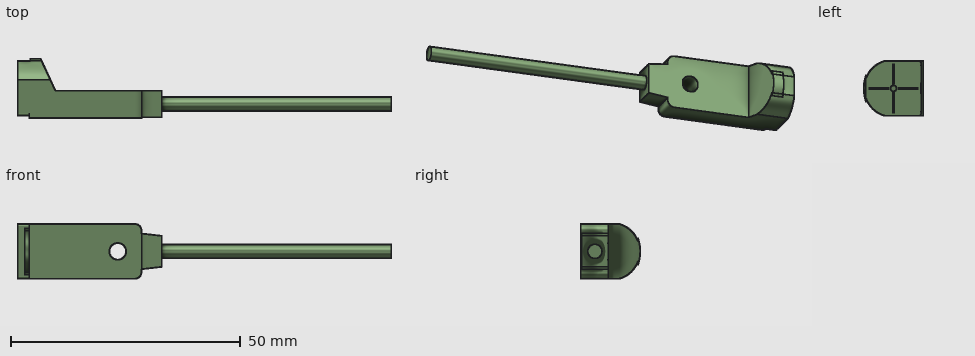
import cadquery as cq
import math


body_length = 27.0
body_thickness = 6.0
housing_width = 12.0
body_corner_radius = 1.5

head_height = 13.0
head_top_length = 5.0
head_foot_length = 8.25
crown_radius = 6.25
crown_center_y = 6.65
crown_flat_y = 12.5

window_start = 2.7
window_half_width = 2.9

step_length = 2.5
step_depth = 0.5
step_fillet = 0.5

recess_start = 1.5
recess_width = 10.1
lens_radius = 6.0
lens_width = 9.0
lens_sagitta = lens_radius - math.sqrt(lens_radius**2 - (lens_width / 2) ** 2)

hole_x = 21.8
hole_diameter = 3.6

boot_length = 4.4
boot_base_width = 7.8
boot_end_width = 6.8
boot_bottom = 0.2
cable_diameter = 3.1
cable_length = 50.0
cable_center_y = (boot_bottom + body_thickness) / 2

mark_center_y = 6.5
mark_depth = 0.1
mark_disc_diameter = 1.3
mark_line_width = 0.3
mark_line_inner = 1.0
mark_line_outer = 5.3


def box(x_range, y_range, width):
    """Block spanning the given X and Y ranges, centred on Z = 0."""
    length = x_range[1] - x_range[0]
    height = y_range[1] - y_range[0]
    block = cq.Workplane("XY").box(length, height, width, centered=(False, False, True))
    return block.translate((x_range[0], y_range[0], 0))


def cylinder_along_x(x_range, center_y, radius):
    """Cylinder on the Z = 0 plane with its axis parallel to X."""
    section = cq.Workplane("YZ", origin=(x_range[0], center_y, 0)).circle(radius)
    return section.extrude(x_range[1] - x_range[0])


def make_side_profile():
    """L-shaped housing of full width with a sloping face at the back of the head."""
    outline = [
        (0, step_depth),
        (step_length, step_depth),
        (step_length, 0),
        (body_length, 0),
        (body_length, body_thickness),
        (head_foot_length, body_thickness),
        (head_top_length, head_height),
        (0, head_height),
    ]
    return cq.Workplane("XY").polyline(outline).close().extrude(housing_width / 2, both=True)


def make_crown_envelope():
    """Bar with a rounded crown, trimmed by a flat on top and by the housing sides."""
    x_range = (0, body_length)
    crown = cylinder_along_x(x_range, crown_center_y, crown_radius)
    envelope = crown.union(box(x_range, (0, crown_center_y), 2 * crown_radius))
    return envelope.intersect(box(x_range, (0, crown_flat_y), housing_width))


def make_housing():
    """Housing with a rounded crown, rounded cable-end corners and rounded step corners."""
    housing = make_side_profile().intersect(make_crown_envelope())
    housing = housing.edges("|Y and >X").fillet(body_corner_radius)
    step_sides = cq.selectors.BoxSelector(
        (0, 0, -housing_width),
        (step_length, 2 * step_depth, housing_width),
    )
    return housing.edges("|X").edges(step_sides).fillet(step_fillet)


def make_window():
    """Circular-segment cap on the crown flat, ending on the sloping back face of the head."""
    section = (
        cq.Workplane("YZ", origin=(window_start, 0, 0))
        .moveTo(crown_flat_y, -window_half_width)
        .threePointArc((head_height, 0), (crown_flat_y, window_half_width))
        .close()
    )
    return section.extrude(head_foot_length - window_start).intersect(make_side_profile())


def cut_lens_recess(part):
    """Pocket in the step whose floor carries a convex lens, flush with the step at its middle."""
    x_range = (recess_start, step_length)
    y_range = (step_depth, step_depth + lens_sagitta)
    pocket = box(x_range, y_range, recess_width)
    lens = cylinder_along_x(x_range, step_depth + lens_radius, lens_radius)
    return part.cut(pocket.cut(lens))


def cut_mounting_hole(part):
    hole = cq.Workplane("XZ", origin=(hole_x, 0, 0)).circle(hole_diameter / 2).extrude(-body_thickness)
    return part.cut(hole)


def cut_target_mark(part):
    """Central disc and four radial lines engraved in the sensing face."""
    part = part.cut(cylinder_along_x((0, mark_depth), mark_center_y, mark_disc_diameter / 2))
    line = box((0, mark_depth), (mark_line_inner, mark_line_outer), mark_line_width)
    for quarter in range(4):
        arm = line.rotate((0, 0, 0), (1, 0, 0), 90 * quarter)
        part = part.cut(arm.translate((0, mark_center_y, 0)))
    return part


def make_boot():
    """Strain relief that narrows in Z towards the cable."""
    boot_end = body_length + boot_length
    outline = [
        (body_length, -boot_base_width / 2),
        (boot_end, -boot_end_width / 2),
        (boot_end, boot_end_width / 2),
        (body_length, boot_base_width / 2),
    ]
    base = cq.Workplane("XZ", origin=(0, boot_bottom, 0)).polyline(outline).close()
    return base.extrude(-(body_thickness - boot_bottom))


def make_cable():
    start = body_length + boot_length
    return cylinder_along_x((start, start + cable_length), cable_center_y, cable_diameter / 2)


result = make_housing().union(make_window())
result = cut_lens_recess(result)
result = cut_mounting_hole(result)
result = cut_target_mark(result)
result = result.union(make_boot()).union(make_cable())